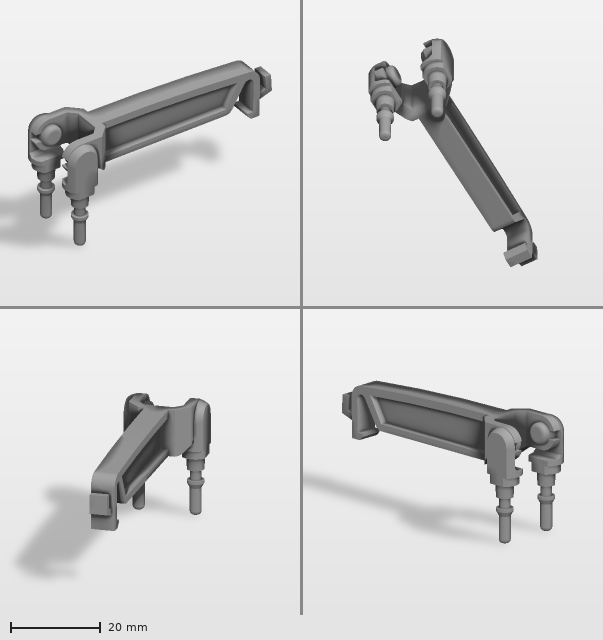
import cadquery as cq
import math


fork_radius = 4.0
fork_half_width = 7.25
fork_wall = 2.15
fork_back = 8.6
fork_corner = 3.0
fork_inner_half = fork_half_width - fork_wall
fork_inner_corner = fork_corner - fork_wall * (2 - math.sqrt(2))
slope_start = 7.65
slope_lower_fillet = 1.7
slope_upper_fillet = 2.4
shaft_diameter = 3.5
notch_height = 2.2
notch_back = -2.25

arm_width = 5.5
arm_height = 10.9
arm_top = fork_radius
arm_bottom = arm_top - arm_height
arm_top_radius = 470.0
arm_end = 51.5
arm_end_fillet = 3.0
leg_thickness = 1.75
leg_lean = 0.15
leg_length = 14.4
foot_height = 1.65
foot_reach = 1.5
foot_chamfer = 0.95
strut_angle = 59.0
strut_bottom = 43.35
strut_fillet = 2.2
arch_radius = 1.3
arch_top = arm_top - 3.7

pocket_depth = 1.75
pocket_roof = 1.85
pocket_floor = 1.6
pocket_floor_end = 42.3
pocket_roof_end = 45.7

clip_width = 4.1
clip_outer = 55.19
clip_thickness = 1.6
clip_top = arm_top - 5.15
clip_corner = arm_top - 9.5
clip_elbow = arm_top - 8.5
clip_lean = 0.25
clip_drop = 1.2
clip_root_top = arm_top - 9.05

plug_x = 6.6
plug_half_width = 2.625
cap_radius = 4.0
cap_bottom = -7.0
cap_inner_face = 7.4
lip_top = -5.75
lip_chamfer = 0.9
step_diameter = 6.55
step_bottom = -9.1
taper_top_diameter = 4.3
taper_bottom_diameter = 3.9
taper_bottom = -12.3
neck_diameter = 2.5
neck_bottom = -14.8
collar_diameter = 3.95
collar_bottom = -15.5
cone_bottom = -16.6
pin_diameter = 2.7
pin_bottom = -23.0
pin_tip_fillet = 0.9
head_diameter = 5.0
head_end = 3.4
head_fillet = 1.0


def side_profile():
    return cq.Workplane("YZ")


def round_corner(body, y, z, radius):
    """Fillet the edge parallel to X that passes through (y, z)."""
    corner = cq.selectors.NearestToPointSelector((0, y, z))
    return body.edges("|X").edges(corner).fillet(radius)


def crown_z(y, below=0.0):
    """Height of the crowned arm top at a given Y, less a vertical offset."""
    rise = math.sqrt(arm_top_radius**2 - (y - fork_back) ** 2)
    return arm_top - below - arm_top_radius + rise


def make_fork():
    shoulder = fork_back - fork_corner
    inner_back = fork_back - fork_wall
    inner_shoulder = inner_back - fork_inner_corner
    outline = [
        (fork_half_width, -fork_radius),
        (fork_half_width, shoulder),
        (fork_half_width - fork_corner, fork_back),
        (-fork_half_width + fork_corner, fork_back),
        (-fork_half_width, shoulder),
        (-fork_half_width, -fork_radius),
        (-fork_inner_half, -fork_radius),
        (-fork_inner_half, inner_shoulder),
        (-fork_inner_half + fork_inner_corner, inner_back),
        (fork_inner_half - fork_inner_corner, inner_back),
        (fork_inner_half, inner_shoulder),
        (fork_inner_half, -fork_radius),
    ]
    plan = cq.Workplane("XY").workplane(offset=arm_bottom).polyline(outline).close().extrude(arm_height)

    slope_end = slope_start - (-fork_radius - arm_bottom)
    side = (
        side_profile()
        .moveTo(fork_back, arm_top)
        .lineTo(0, arm_top)
        .threePointArc((-fork_radius, 0), (0, -fork_radius))
        .lineTo(slope_end, -fork_radius)
        .lineTo(slope_start, arm_bottom)
        .lineTo(fork_back, arm_bottom)
        .close()
        .extrude(fork_half_width, both=True)
    )
    side = round_corner(side, slope_end, -fork_radius, slope_upper_fillet)
    side = round_corner(side, slope_start, arm_bottom, slope_lower_fillet)

    hole = side_profile().circle(shaft_diameter / 2).extrude(fork_half_width, both=True)
    notch_depth = fork_radius + notch_back
    notch = (
        side_profile()
        .center(notch_back - notch_depth / 2, 0)
        .rect(notch_depth, notch_height)
        .extrude(fork_half_width, both=True)
    )
    return plan.intersect(side).cut(hole).cut(notch)


def make_arm():
    middle = (fork_back + arm_end) / 2
    leg_bottom = arm_top - leg_length
    foot_top = leg_bottom + foot_height
    leg_inner = arm_end - leg_thickness
    foot_tip = leg_inner - leg_lean - foot_reach
    strut_run = (arch_top - arm_bottom) / math.tan(math.radians(strut_angle))
    arch_strut_corner = (strut_bottom + strut_run, arch_top)

    arm = (
        side_profile()
        .moveTo(fork_back, arm_top)
        .threePointArc((middle, crown_z(middle)), (arm_end, crown_z(arm_end)))
        .lineTo(arm_end - leg_lean, leg_bottom)
        .lineTo(foot_tip + foot_chamfer, leg_bottom)
        .lineTo(foot_tip, leg_bottom + foot_chamfer)
        .lineTo(foot_tip, foot_top)
        .lineTo(leg_inner - leg_lean, foot_top)
        .lineTo(leg_inner, arch_top)
        .lineTo(*arch_strut_corner)
        .lineTo(strut_bottom, arm_bottom)
        .lineTo(fork_back, arm_bottom)
        .close()
        .extrude(arm_width / 2, both=True)
    )
    rounded_corners = [
        (arm_end, crown_z(arm_end), arm_end_fillet),
        (leg_inner, arch_top, arch_radius),
        (*arch_strut_corner, arch_radius),
        (strut_bottom, arm_bottom, strut_fillet),
    ]
    for y, z, radius in rounded_corners:
        arm = round_corner(arm, y, z, radius)
    return arm


def make_pockets():
    """Cutters for the two mirrored side pockets, which leave a thin web between them."""
    floor = arm_bottom + pocket_floor
    middle = (fork_back + pocket_roof_end) / 2
    outline = (
        side_profile()
        .workplane(offset=arm_width / 2 - pocket_depth)
        .moveTo(fork_back, floor)
        .lineTo(pocket_floor_end, floor)
        .lineTo(pocket_roof_end, crown_z(pocket_roof_end, pocket_roof))
        .threePointArc(
            (middle, crown_z(middle, pocket_roof)),
            (fork_back, crown_z(fork_back, pocket_roof)),
        )
        .close()
    )
    pocket = outline.extrude(pocket_depth)
    return pocket.union(pocket.mirror("YZ"))


def make_clip():
    root = arm_end - leg_thickness / 2
    drop_slope = clip_drop / (clip_outer - arm_end)
    root_bottom_drop = drop_slope * (clip_outer - root)
    inner = clip_outer - clip_thickness
    elbow_slope = (clip_elbow - clip_root_top) / (inner - arm_end)
    return (
        side_profile()
        .moveTo(root, clip_corner - root_bottom_drop)
        .lineTo(clip_outer, clip_corner)
        .lineTo(clip_outer - clip_lean, clip_top)
        .lineTo(inner - clip_lean, clip_top)
        .lineTo(inner, clip_elbow)
        .lineTo(root, clip_elbow - elbow_slope * (inner - root))
        .close()
        .extrude(clip_width / 2, both=True)
    )


def make_handle():
    arm = make_arm().cut(make_pockets())
    return make_fork().union(arm).union(make_clip())


def make_cap():
    """Round-topped cap with a recess for the fork end and a lip below it."""
    dome = cq.Workplane("XY").sphere(cap_radius)
    barrel = cq.Workplane("XY").workplane(offset=cap_bottom).circle(cap_radius).extrude(-cap_bottom)
    step = (
        cq.Workplane("XY")
        .workplane(offset=step_bottom)
        .circle(step_diameter / 2)
        .extrude(cap_bottom - step_bottom)
    )
    flats = cq.Workplane("XY").box(2 * plug_half_width, 2 * cap_radius, -2 * step_bottom)
    cap = dome.union(barrel).union(step).intersect(flats).translate((plug_x, 0, 0))

    recess = (
        cq.Workplane("XZ")
        .moveTo(cap_inner_face, cap_radius)
        .lineTo(cap_inner_face, lip_top + lip_chamfer)
        .lineTo(cap_inner_face - lip_chamfer, lip_top)
        .lineTo(0, lip_top)
        .lineTo(0, cap_radius)
        .close()
        .extrude(cap_radius, both=True)
    )
    return cap.cut(recess)


def make_pin():
    pin = (
        cq.Workplane("XZ")
        .moveTo(0, step_bottom)
        .lineTo(taper_top_diameter / 2, step_bottom)
        .lineTo(taper_bottom_diameter / 2, taper_bottom)
        .lineTo(neck_diameter / 2, taper_bottom)
        .lineTo(neck_diameter / 2, neck_bottom)
        .lineTo(collar_diameter / 2, neck_bottom)
        .lineTo(collar_diameter / 2, collar_bottom)
        .lineTo(pin_diameter / 2, cone_bottom)
        .lineTo(pin_diameter / 2, pin_bottom)
        .lineTo(0, pin_bottom)
        .close()
        .revolve(360, (0, 0, 0), (0, 1, 0))
    )
    return pin.faces("<Z").edges().fillet(pin_tip_fillet).translate((plug_x, 0, 0))


def make_hinge_shaft():
    """Shaft through the fork, with a rounded head on the inner side."""
    shaft = (
        side_profile()
        .workplane(offset=fork_inner_half)
        .circle(shaft_diameter / 2)
        .extrude(cap_inner_face - fork_inner_half)
    )
    head = (
        side_profile()
        .workplane(offset=head_end)
        .circle(head_diameter / 2)
        .extrude(fork_inner_half - head_end)
        .faces("<X")
        .edges()
        .fillet(head_fillet)
    )
    return shaft.union(head)


def make_plug():
    return make_cap().union(make_pin()).union(make_hinge_shaft())


handle = make_handle()
right_plug = make_plug()
left_plug = right_plug.mirror("YZ")

result = cq.Compound.makeCompound([handle.val(), right_plug.val(), left_plug.val()])